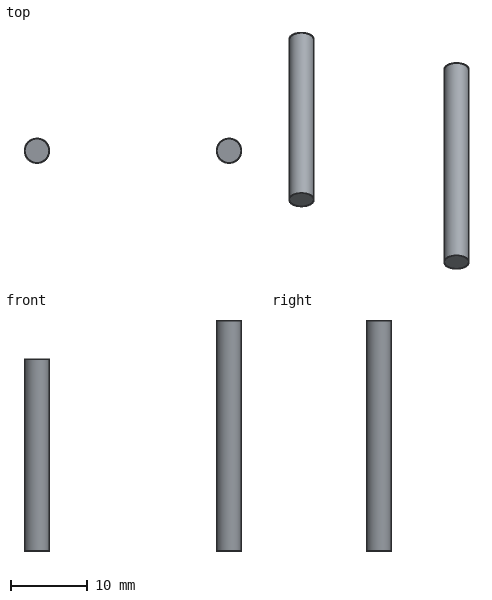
import cadquery as cq

pin_diameter = 3.2
pin_spacing = 25.0
short_pin_length = 25.0
long_pin_length = 30.0


def make_pin(center_x, length):
    """Plain cylindrical pin rising from Z = 0."""
    return cq.Workplane("XY").center(center_x, 0).circle(pin_diameter / 2).extrude(length)


short_pin = make_pin(-pin_spacing / 2, short_pin_length)
long_pin = make_pin(pin_spacing / 2, long_pin_length)

result = cq.Compound.makeCompound([short_pin.val(), long_pin.val()])